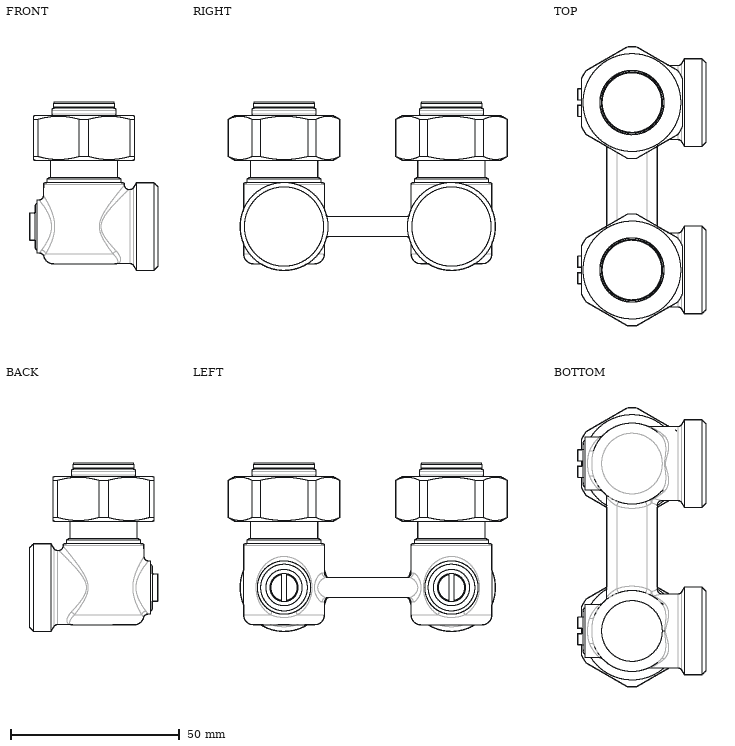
import cadquery as cq
import math


valve_pitch = 49.6
blend_radius = 1.3

body_radius = 12.0
body_bottom_z = -11.1
body_top_z = 13.0
body_bottom_fillet = 3.0
body_top_fillet = 0.5

collar_radius = 11.0
collar_shoulder_z = 14.05
collar_cone_radius = 10.3
collar_top_z = 14.55
neck_radius = 10.0

nut_across_flats = 30.0
nut_corner_diameter = 33.14
nut_bottom_z = 19.55
nut_top_z = 32.95
nut_face_diameter = 29.0
nut_chamfer_angle = 30.0

seal_radius = 9.55
seal_bottom_z = 32.7
seal_top_z = 35.1
seal_edge_fillet = 0.7
groove_top_z = 35.38
tail_radius = 9.05
tail_chamfer_width = 0.22
tail_chamfer_height = 0.5
tail_top_z = 36.9

outlet_pipe_radius = 11.0
outlet_flange_radius = 13.05
outlet_end_x = 22.0
outlet_end_chamfer = 1.3
flange_rim_x = 15.55
flange_cone_angle = 60.0
flange_root_fillet = 1.3

boss_radius = 7.9
boss_face_x = -13.95
ring_centre_radius = 6.15
ring_section_radius = 0.85
ring_top_x = -14.45
screw_radius = 4.15
screw_end_x = -16.2
screw_chamfer = 0.25
slot_width = 1.5
slot_depth = 1.5

bar_width = 15.0
bar_height = 6.0

tolerance = 1e-3


def make_body():
    """Body, collar, neck and tailpiece, turned about the vertical axis."""
    groove_radius = seal_radius - seal_edge_fillet
    return (
        cq.Workplane("XZ")
        .moveTo(0, body_bottom_z)
        .lineTo(body_radius - body_bottom_fillet, body_bottom_z)
        .radiusArc((body_radius, body_bottom_z + body_bottom_fillet), -body_bottom_fillet)
        .lineTo(body_radius, body_top_z - body_top_fillet)
        .radiusArc((body_radius - body_top_fillet, body_top_z), -body_top_fillet)
        .lineTo(collar_radius, body_top_z)
        .lineTo(collar_radius, collar_shoulder_z)
        .lineTo(collar_cone_radius, collar_top_z)
        .lineTo(neck_radius, collar_top_z)
        .lineTo(neck_radius, seal_bottom_z)
        .lineTo(groove_radius, seal_bottom_z)
        .radiusArc((seal_radius, seal_bottom_z + seal_edge_fillet), -seal_edge_fillet)
        .lineTo(seal_radius, seal_top_z - seal_edge_fillet)
        .radiusArc((groove_radius, seal_top_z), -seal_edge_fillet)
        .lineTo(groove_radius, groove_top_z)
        .lineTo(tail_radius, groove_top_z)
        .lineTo(tail_radius, tail_top_z - tail_chamfer_height)
        .lineTo(tail_radius - tail_chamfer_width, tail_top_z)
        .lineTo(0, tail_top_z)
        .close()
        .revolve(360, (0, 0, 0), (0, 1, 0))
    )


def make_nut():
    """Hexagon nut with corners at +Y and -Y, rounded to a cylinder and chamfered at both ends."""
    height = nut_top_z - nut_bottom_z
    hexagon = (
        cq.Workplane("XY", origin=(0, 0, nut_bottom_z))
        .polygon(6, nut_across_flats / math.cos(math.pi / 6))
        .extrude(height)
        .rotate((0, 0, 0), (0, 0, 1), 30)
    )
    corner_radius = nut_corner_diameter / 2
    chamfer_width = (nut_corner_diameter - nut_face_diameter) / 2
    chamfer_height = chamfer_width * math.tan(math.radians(nut_chamfer_angle))
    envelope = (
        cq.Workplane("XY", origin=(0, 0, nut_bottom_z))
        .circle(corner_radius)
        .extrude(height)
        .edges()
        .chamfer(chamfer_height, chamfer_width)
    )
    return hexagon.intersect(envelope)


def make_outlet_pipe():
    return cq.Workplane("YZ").circle(outlet_pipe_radius).extrude(flange_rim_x)


def make_outlet_flange():
    """Outlet flange with its conical back and root fillet, turned about the X axis."""
    cone_angle = math.radians(flange_cone_angle)
    cone_foot_x = flange_rim_x - (outlet_flange_radius - outlet_pipe_radius) / math.tan(cone_angle)
    tangent_length = flange_root_fillet * math.tan(cone_angle / 2)
    fillet_start_x = cone_foot_x - tangent_length
    fillet_end = (
        cone_foot_x + tangent_length * math.cos(cone_angle),
        outlet_pipe_radius + tangent_length * math.sin(cone_angle),
    )
    return (
        cq.Workplane("XY")
        .moveTo(fillet_start_x, 0)
        .lineTo(fillet_start_x, outlet_pipe_radius)
        .radiusArc(fillet_end, -flange_root_fillet)
        .lineTo(flange_rim_x, outlet_flange_radius)
        .lineTo(outlet_end_x - outlet_end_chamfer, outlet_flange_radius)
        .lineTo(outlet_end_x, outlet_flange_radius - outlet_end_chamfer)
        .lineTo(outlet_end_x, 0)
        .close()
        .revolve(360, (0, 0, 0), (1, 0, 0))
    )


def make_boss():
    return cq.Workplane("YZ").circle(boss_radius).extrude(boss_face_x)


def make_screw():
    """Round ring on the boss face and the slotted screw head inside it."""
    ring = (
        cq.Workplane("XY")
        .center(ring_top_x + ring_section_radius, ring_centre_radius)
        .circle(ring_section_radius)
        .revolve(360, (0, -ring_centre_radius, 0), (1, -ring_centre_radius, 0))
    )
    head = (
        cq.Workplane("YZ")
        .circle(screw_radius)
        .extrude(screw_end_x)
        .faces("<X")
        .chamfer(screw_chamfer)
    )
    slot = cq.Workplane("XY").box(2 * slot_depth, slot_width, 2 * screw_radius)
    slot = slot.translate((screw_end_x, 0, 0))
    return ring.union(head.cut(slot))


def make_half_bar():
    """Flat bar with fully rounded edges, from the vertical axis to halfway to the other valve."""
    return cq.Workplane("XZ").slot2D(bar_width, bar_height).extrude(-valve_pitch / 2)


def on_outlet_pipe(point):
    distance = math.hypot(point.y, point.z)
    return point.x > 0 and abs(distance - outlet_pipe_radius) < tolerance


def on_boss(point):
    distance = math.hypot(point.y, point.z)
    return point.x < 0 and abs(distance - boss_radius) < tolerance


def on_bar_root(point):
    in_width = abs(point.x) < bar_width / 2 + tolerance
    in_height = abs(point.z) < bar_height / 2 + tolerance
    outside_body = math.hypot(point.x, point.y) > body_radius - tolerance
    return point.y > 0 and in_width and in_height and outside_body


def add_branch(body, branch, on_branch):
    """Join a branch to the body and fillet the seam, whose edges stay within the body radius."""

    def is_seam(edge):
        points = [edge.positionAt(t) for t in (0, 0.3, 0.5, 0.8, 1)]
        in_body = all(math.hypot(p.x, p.y) < body_radius + tolerance for p in points)
        return in_body and all(on_branch(p) for p in points)

    joined = body.union(branch)
    return joined.edges().filter(is_seam).fillet(blend_radius)


def make_valve():
    """One valve on the Z axis, with its half of the connecting bar running to +Y."""
    valve = make_body()
    valve = add_branch(valve, make_outlet_pipe(), on_outlet_pipe)
    valve = add_branch(valve, make_boss(), on_boss)
    valve = add_branch(valve, make_half_bar(), on_bar_root)
    valve = valve.union(make_nut())
    valve = valve.union(make_outlet_flange())
    return valve.union(make_screw())


near_valve = make_valve().translate((0, -valve_pitch / 2, 0))
far_valve = near_valve.mirror("XZ")
result = near_valve.union(far_valve)